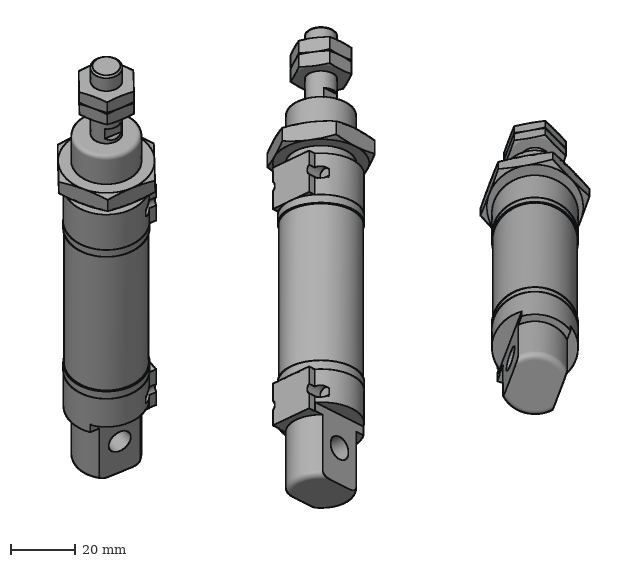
import cadquery as cq
import math


total_height = 164.0
tail_hole_z = 13.0
shoulder_z = 21.8
flats_top_z = 25.0
rear_band_bottom_z = 36.7
rear_band_top_z = 40.0
front_band_bottom_z = 96.0
front_band_top_z = 99.0
front_cap_top_z = 113.8
neck_top_z = 136.0

tube_diameter = 26.4
cap_diameter = 26.9
band_diameter = 27.0
band_chamfer = 0.25
neck_diameter = 22.0
neck_fillet = 1.5
tail_thickness = 16.0
tail_fillet = 2.0
tail_hole_diameter = 8.0

block_width = 15.7
side_hole_diameter = 4.3
side_hole_x = 9.2
side_hole_floor_y = 7.7
front_side_hole_z = 107.1
rear_side_hole_z = 28.9

rod_diameter = 10.0
rod_chamfer = 0.7
rod_flats_width = 8.0
rod_flats_bottom_z = 138.1
rod_flats_top_z = 142.0

mount_nut_across_flats = 30.0
mount_nut_thickness = 6.4
mount_nut_bottom_z = 117.9
mount_nut_chamfer_angle = 20.0
rod_nut_across_flats = 17.0
rod_nut_stack_height = 10.0
rod_nut_count = 2
rod_nut_thickness = rod_nut_stack_height / rod_nut_count
rod_nut_bottom_z = 148.0
rod_nut_chamfer_angle = 15.0


def cylinder(diameter, bottom_z, top_z):
    return cq.Workplane("XY").workplane(offset=bottom_z).circle(diameter / 2).extrude(top_z - bottom_z)


def centred_box(width, depth, bottom_z, top_z):
    """Box centred on the Z axis."""
    box = cq.Workplane("XY").box(width, depth, top_z - bottom_z, centered=(True, True, False))
    return box.translate((0, 0, bottom_z))


def make_tail():
    """Round tail, rounded at its bottom edge."""
    return cylinder(neck_diameter, 0, shoulder_z).faces("<Z").edges().fillet(tail_fillet)


def make_neck():
    """Round neck, rounded at its top edge."""
    return cylinder(neck_diameter, front_cap_top_z, neck_top_z).faces(">Z").edges().fillet(neck_fillet)


def make_port_block(bottom_z, top_z):
    """Flat block that squares off the +Y side of a cap."""
    reach = cap_diameter / 2
    block = cq.Workplane("XY").box(block_width, reach, top_z - bottom_z, centered=(True, False, False))
    return block.translate((0, 0, bottom_z))


def make_side_holes(hole_z):
    """Pair of blind holes along Y that break through the flanks of a port block."""
    depth = cap_diameter / 2 - side_hole_floor_y
    holes = cq.Workplane("XZ", origin=(0, side_hole_floor_y, hole_z))
    holes = holes.pushPoints([(-side_hole_x, 0), (side_hole_x, 0)])
    return holes.circle(side_hole_diameter / 2).extrude(-depth)


def cut_tail_flats(body):
    """Leave a tongue of the tail thickness below the top of the flats."""
    surround = centred_box(2 * cap_diameter, 2 * cap_diameter, 0, flats_top_z)
    tongue = centred_box(tail_thickness, 2 * cap_diameter, 0, flats_top_z)
    return body.cut(surround.cut(tongue))


def make_housing():
    body = cylinder(cap_diameter, shoulder_z, rear_band_bottom_z)
    rear_band = cylinder(band_diameter, rear_band_bottom_z, rear_band_top_z)
    body = body.union(rear_band.faces(">Z").edges().chamfer(band_chamfer))
    body = body.union(cylinder(tube_diameter, rear_band_top_z, front_band_bottom_z))
    front_band = cylinder(band_diameter, front_band_bottom_z, front_band_top_z)
    body = body.union(front_band.faces("<Z").edges().chamfer(band_chamfer))
    body = body.union(cylinder(cap_diameter, front_band_top_z, front_cap_top_z))
    body = body.union(make_neck())
    body = body.union(make_tail())
    body = body.union(make_port_block(shoulder_z, rear_band_bottom_z))
    body = body.union(make_port_block(front_band_top_z, front_cap_top_z))
    for hole_z in (rear_side_hole_z, front_side_hole_z):
        body = body.cut(make_side_holes(hole_z))
    body = cut_tail_flats(body)
    pin_hole = cq.Workplane("YZ").center(0, tail_hole_z).circle(tail_hole_diameter / 2)
    return body.cut(pin_hole.extrude(tail_thickness, both=True))


def make_rod():
    """Rod standing on the neck, with a chamfered tip and two spanner flats on its X sides."""
    rod = cylinder(rod_diameter, neck_top_z, total_height).faces(">Z").edges().chamfer(rod_chamfer)
    flat_x = rod_flats_width / 2
    rod_radius = rod_diameter / 2
    ramp_bottom_z = rod_flats_bottom_z - (rod_radius - flat_x)
    notch_outline = [
        (flat_x, rod_flats_top_z),
        (rod_radius, rod_flats_top_z),
        (rod_radius, ramp_bottom_z),
        (flat_x, rod_flats_bottom_z),
    ]
    notch = cq.Workplane("XZ").polyline(notch_outline).close().extrude(rod_diameter, both=True)
    return rod.cut(notch).cut(notch.mirror("YZ"))


def make_hex_nut(across_flats, thickness, bore_diameter, chamfer_angle, bottom_z):
    """Hexagon nut with corners on the Y axis, its corners chamfered above and below."""
    flat_radius = across_flats / 2
    corner_radius = flat_radius / math.cos(math.radians(30))
    drop = (corner_radius - flat_radius) * math.tan(math.radians(chamfer_angle))
    hexagon = cq.Workplane("XY").polygon(6, 2 * corner_radius).extrude(thickness)
    hexagon = hexagon.rotate((0, 0, 0), (0, 0, 1), 90)
    envelope = cq.Workplane("XZ").lineTo(flat_radius, 0).lineTo(corner_radius, drop)
    envelope = envelope.lineTo(corner_radius, thickness - drop).lineTo(flat_radius, thickness)
    envelope = envelope.lineTo(0, thickness).close().revolve(360, (0, 0, 0), (0, 1, 0))
    nut = hexagon.intersect(envelope).cut(cylinder(bore_diameter, 0, thickness))
    return nut.translate((0, 0, bottom_z))


housing = make_housing()
rod = make_rod()
mount_nut = make_hex_nut(
    mount_nut_across_flats, mount_nut_thickness, neck_diameter,
    mount_nut_chamfer_angle, mount_nut_bottom_z,
)
rod_nuts = []
for index in range(rod_nut_count):
    nut_bottom_z = rod_nut_bottom_z + index * rod_nut_thickness
    rod_nut = make_hex_nut(
        rod_nut_across_flats, rod_nut_thickness, rod_diameter,
        rod_nut_chamfer_angle, nut_bottom_z,
    )
    rod_nuts.append(rod_nut.val())

result = cq.Compound.makeCompound([housing.val(), rod.val(), mount_nut.val(), *rod_nuts])